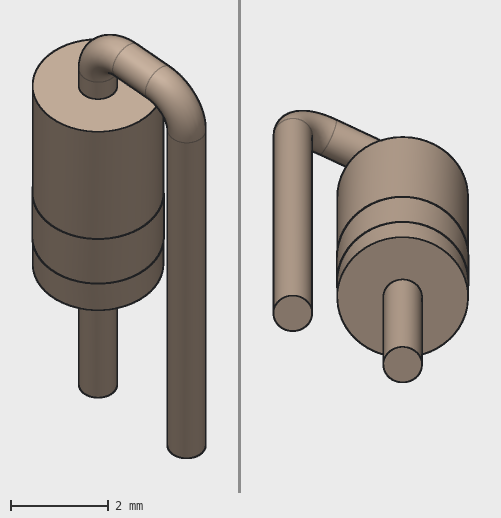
import cadquery as cq


body_diameter = 2.7
body_length = 5.2
band_diameter = 2.72
band_length = body_length / 4
band_offset = 0.78

lead_diameter = 0.8
lead_pitch = 2.54
lead_below_body = 3.5
bend_radius = 0.8
overall_height = 10.4

body_bottom = lead_below_body
band_bottom = body_bottom + band_offset
wire_top = overall_height - lead_diameter / 2
bend_start = wire_top - bend_radius


def cylinder(diameter, bottom, length):
    """Cylinder on the body axis, rising from the given height."""
    return cq.Workplane("XY").workplane(offset=bottom).circle(diameter / 2).extrude(length)


def make_body():
    """Cylindrical body with a slightly raised band near its lower end."""
    body = cylinder(body_diameter, body_bottom, body_length)
    band = cylinder(band_diameter, band_bottom, band_length)
    return body.union(band)


def make_wire():
    """Round lead through the body, bent over the top and down to the second pin."""
    path = (
        cq.Workplane("XZ")
        .lineTo(0, bend_start)
        .tangentArcPoint((bend_radius, wire_top), relative=False)
        .lineTo(lead_pitch - bend_radius, wire_top)
        .tangentArcPoint((lead_pitch, bend_start), relative=False)
        .lineTo(lead_pitch, 0)
    )
    return cq.Workplane("XY").circle(lead_diameter / 2).sweep(path)


result = make_body().union(make_wire())